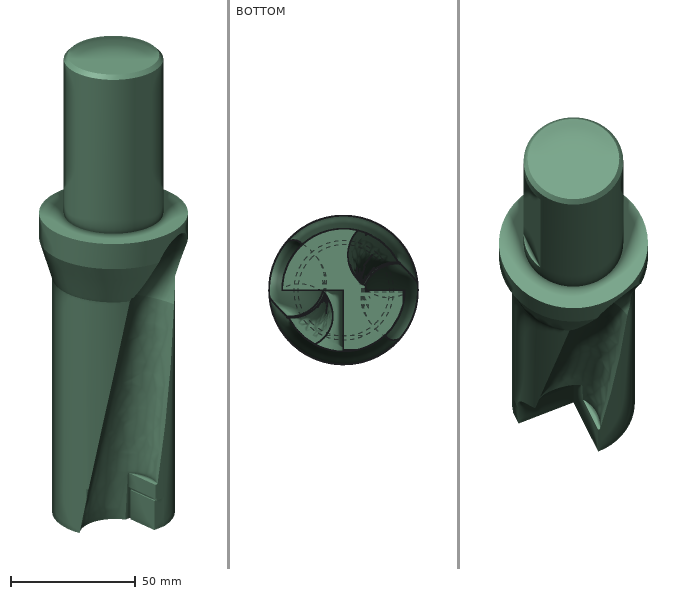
import cadquery as cq

total_length = 202.5
body_radius = 24.7
collar_radius = 30.0
shank_radius = 20.0
cone_bottom = 104.3
cone_top = 121.5
collar_top = 132.7
shank_chamfer = 1.6

flat_distance = 18.2
flat_bottom = 139.4
flat_top = 195.9

flute_radius = 14.2
flute_offset = 21.3
inner_flute_angle = 138.5
flute_twist_rate = 0.469
inner_flute_bottom = 18.2
outer_flute_bottom = 0
runout_start = 98.9
runout_overlap = 7.0
runout_bend_radius = 20.7
runout_lean = 24.0
runout_sweep = 90.0

pocket_wall_height = 14.2
inner_roof_radius = 16.6
outer_pocket_start = 9.0
outer_seat_height = 20.3
insert_height = 13.0
insert_reach = 24.1
insert_thickness = 6.0
insert_gap = 1.0
insert_gap_depth = 0.6
cut_margin = 6.0
outer_limit = body_radius + cut_margin


def make_blank():
    """Turned outline: body, flared collar and chamfered shank."""
    outline = [
        (0, 0),
        (body_radius, 0),
        (body_radius, cone_bottom),
        (collar_radius, cone_top),
        (collar_radius, collar_top),
        (shank_radius, collar_top),
        (shank_radius, total_length - shank_chamfer),
        (shank_radius - shank_chamfer, total_length),
        (0, total_length),
    ]
    return cq.Workplane("XZ").polyline(outline).close().revolve(360, (0, 0), (0, 1))


def make_shank_flat():
    """Block that leaves a flat on the +Y side of the shank."""
    return cq.Workplane("XY").box(
        2 * shank_radius, shank_radius, flat_top - flat_bottom, centered=(True, False, False)
    ).translate((0, flat_distance, flat_bottom))


def angle_at(start_angle, height):
    """Direction of a flute centre at a given height."""
    return start_angle + flute_twist_rate * height


def make_groove(start_angle, bottom):
    """Twisted round groove, run on past the start of the outward bend."""
    length = runout_start + runout_overlap - bottom
    groove = cq.Workplane("XY").moveTo(flute_offset, 0).circle(flute_radius)
    groove = groove.twistExtrude(length, flute_twist_rate * length)
    groove = groove.rotate((0, 0, 0), (0, 0, 1), angle_at(start_angle, bottom))
    return groove.translate((0, 0, bottom))


def make_runout(start_angle):
    """Leaning quarter bend that carries a flute out through the collar."""
    bend_center = flute_offset + runout_bend_radius
    runout = cq.Workplane("XY").moveTo(flute_offset, 0).circle(flute_radius)
    runout = runout.revolve(runout_sweep, (bend_center, 0), (bend_center, 1))
    runout = runout.rotate((flute_offset, 0, 0), (flute_offset + 2, 0, 0), -runout_lean)
    runout = runout.translate((0, 0, runout_start))
    return runout.rotate((0, 0, 0), (0, 0, 1), angle_at(start_angle, runout_start))


def make_block(x_range, y_range, z_range):
    """Box between the given limits along X, Y and Z."""
    ranges = (x_range, y_range, z_range)
    sizes = [high - low for low, high in ranges]
    corner = tuple(low for low, high in ranges)
    return cq.Workplane("XY").box(*sizes, centered=False).translate(corner)


def make_inner_pocket():
    """Pocket over the -X, +Y quarter, with a quarter-round roof and its floor facing -X."""
    roof_top = pocket_wall_height + inner_roof_radius
    pocket = (
        cq.Workplane("XZ")
        .moveTo(0, 0)
        .lineTo(0, pocket_wall_height)
        .radiusArc((-inner_roof_radius, roof_top), -inner_roof_radius)
        .lineTo(-outer_limit, roof_top)
        .lineTo(-outer_limit, 0)
        .close()
    )
    return pocket.extrude(-outer_limit)


def make_inner_insert_trim():
    """Step that sets the inner insert back from the body surface."""
    return make_block((0, insert_thickness), (insert_reach, outer_limit), (0, pocket_wall_height))


def make_outer_pocket():
    """Square pocket on the +X, -Y side, including the space for its insert."""
    return make_block(
        (outer_pocket_start, outer_limit), (-outer_limit, insert_thickness), (0, outer_seat_height)
    )


def make_outer_seat():
    """Seat and insert behind the outer pocket, with a narrow gap above the insert."""
    envelope = cq.Workplane("XY").circle(body_radius).extrude(outer_seat_height)
    seat = envelope.intersect(
        make_block((outer_pocket_start, outer_limit), (0, insert_thickness), (0, outer_seat_height))
    )
    gap_top = insert_height + insert_gap
    trim = make_block((insert_reach, outer_limit), (0, insert_thickness), (0, insert_height))
    gap = make_block((outer_pocket_start, outer_limit), (0, insert_gap_depth), (insert_height, gap_top))
    side_gap_end = outer_pocket_start + insert_gap
    side_gap = make_block((outer_pocket_start, side_gap_end), (0, insert_gap_depth), (0, insert_height))
    return seat.cut(trim).cut(gap).cut(side_gap)


outer_flute_angle = inner_flute_angle + 180

result = make_blank().cut(make_shank_flat())
for angle, bottom in (
    (inner_flute_angle, inner_flute_bottom),
    (outer_flute_angle, outer_flute_bottom),
):
    result = result.cut(make_groove(angle, bottom)).cut(make_runout(angle))
result = result.cut(make_inner_pocket()).cut(make_inner_insert_trim())
result = result.cut(make_outer_pocket()).union(make_outer_seat())